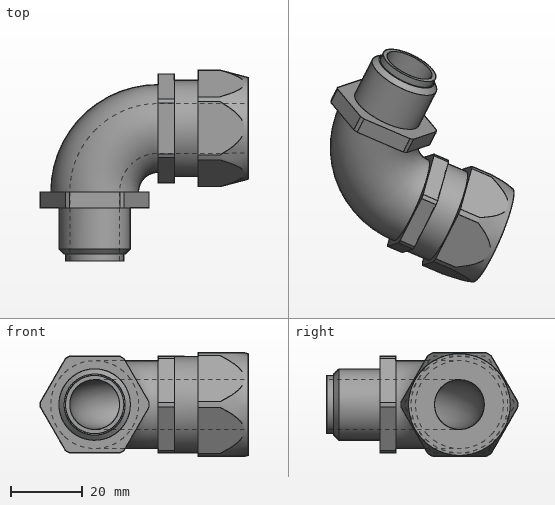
import cadquery as cq
import math


BEND_RADIUS = 17.75
TUBE_DIAMETER = 24.6
BORE_DIAMETER = 13.9

FLANGE_FLATS = 27.0
FLANGE_CORNERS = 30.5
FLANGE_THICKNESS = 4.5

SPIGOT_DIAMETER = 20.0
SPIGOT_CHAMFER = 1.45
SPIGOT_LENGTH = 12.95
TIP_DIAMETER = 16.3
TIP_LENGTH = 1.9

COLLAR_DIAMETER = 27.0
COLLAR_LENGTH = 6.7
NUT_FLATS = 29.0
NUT_CORNERS = 32.6
NUT_LENGTH = 14.05
NUT_CONE_LENGTH = 7.9
NUT_END_DIAMETER = 28.4

flange_end = BEND_RADIUS + FLANGE_THICKNESS
spigot_end = flange_end + SPIGOT_LENGTH
inlet_end = spigot_end + TIP_LENGTH
nut_start = flange_end + COLLAR_LENGTH
outlet_end = nut_start + NUT_LENGTH


def inlet_plane(distance):
    """Plane across the inlet axis, facing outward along -Y."""
    return cq.Plane(origin=(0, -distance, 0), xDir=(1, 0, 0), normal=(0, -1, 0))


def outlet_plane(distance):
    """Plane across the outlet axis, facing outward along +X."""
    return cq.Plane(origin=(distance, 0, 0), xDir=(0, 1, 0), normal=(1, 0, 0))


def cylinder(plane, diameter, length):
    return cq.Workplane(plane).circle(diameter / 2).extrude(length)


def hexagon(plane, flats, corners, length):
    """Hexagonal prism with its corners turned down to a smaller diameter."""
    sharp_corners = flats / math.cos(math.pi / 6)
    prism = cq.Workplane(plane).polygon(6, sharp_corners).extrude(length)
    return prism.intersect(cylinder(plane, corners, length))


def bend(diameter):
    """Quarter-torus joining the two port axes."""
    return (
        cq.Workplane(inlet_plane(BEND_RADIUS))
        .circle(diameter / 2)
        .revolve(90, (BEND_RADIUS, 0.6, 0), (BEND_RADIUS, -0.6, 0))
    )


def flange(plane):
    return hexagon(plane, FLANGE_FLATS, FLANGE_CORNERS, FLANGE_THICKNESS)


def spigot():
    """Chamfered spigot with a narrower tip."""
    body = cylinder(inlet_plane(flange_end), SPIGOT_DIAMETER, SPIGOT_LENGTH)
    body = body.faces("<Y").chamfer(SPIGOT_CHAMFER)
    return body.union(cylinder(inlet_plane(spigot_end), TIP_DIAMETER, TIP_LENGTH))


def nut():
    """Hexagonal nut whose outer end is turned to a cone."""
    prism = hexagon(outlet_plane(nut_start), NUT_FLATS, NUT_CORNERS, NUT_LENGTH)
    turned_profile = (
        cq.Workplane("XY")
        .moveTo(nut_start, 0)
        .lineTo(nut_start, NUT_CORNERS / 2)
        .lineTo(outlet_end - NUT_CONE_LENGTH, NUT_CORNERS / 2)
        .lineTo(outlet_end, NUT_END_DIAMETER / 2)
        .lineTo(outlet_end, 0)
        .close()
    )
    return prism.intersect(turned_profile.revolve(360, (0, 0, 0), (1, 0, 0)))


outside = (
    bend(TUBE_DIAMETER)
    .union(flange(inlet_plane(BEND_RADIUS)))
    .union(spigot())
    .union(flange(outlet_plane(BEND_RADIUS)))
    .union(cylinder(outlet_plane(flange_end), COLLAR_DIAMETER, COLLAR_LENGTH))
    .union(nut())
)

bore = (
    bend(BORE_DIAMETER)
    .union(cylinder(inlet_plane(BEND_RADIUS), BORE_DIAMETER, inlet_end - BEND_RADIUS))
    .union(cylinder(outlet_plane(BEND_RADIUS), BORE_DIAMETER, outlet_end - BEND_RADIUS))
)

result = outside.cut(bore)